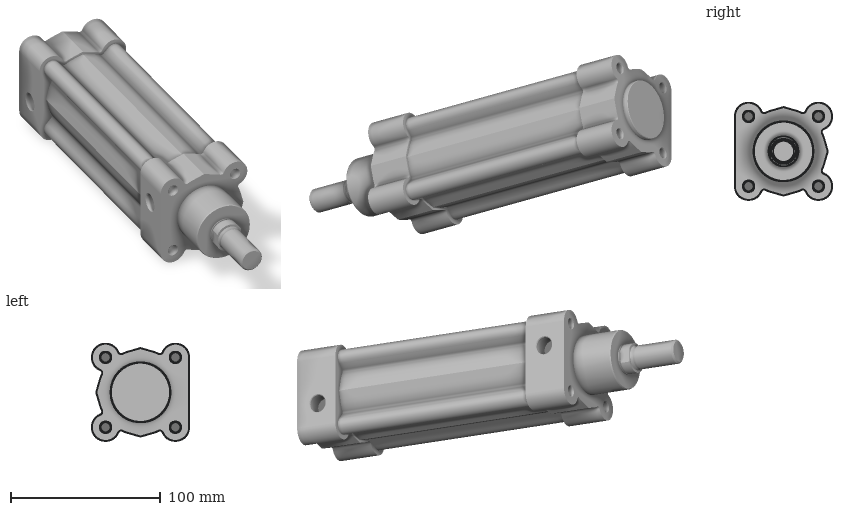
import cadquery as cq
import math

TOTAL_LENGTH = 279.0
BOSS_LENGTH = 3.5
CAP_LENGTH = 29.5
BARREL_LENGTH = 146.8
COLLAR_LENGTH = 28.5
REAR_CAP_X = BOSS_LENGTH
BARREL_X = REAR_CAP_X + CAP_LENGTH
FRONT_CAP_X = BARREL_X + BARREL_LENGTH
COLLAR_X = FRONT_CAP_X + CAP_LENGTH
COLLAR_END_X = COLLAR_X + COLLAR_LENGTH

CAP_WIDTH = 65.0
CORNER_RADIUS = 9.2
CORNER_OFFSET = CAP_WIDTH / 2 - CORNER_RADIUS
CORNER_AXES = [(side * CORNER_OFFSET, level * CORNER_OFFSET) for side in (-1, 1) for level in (-1, 1)]
CAP_CORE_RADIUS = 28.5
CAP_RIDGE_HEIGHT = 29.5
CAP_RIDGE_HALF_WIDTH = 7.0
BOSS_RADIUS = 20.0
BOSS_CHAMFER = 0.42
COLLAR_CHAMFER_LENGTH = 0.8

SCREW_HOLE_DIAMETER = 6.7
SCREW_HOLE_DEPTH = 16.0
SCREW_HOLE_CHAMFER = 0.5

PORT_DIAMETER = 11.7
PORT_DEPTH = 11.2
PORT_CHAMFER = 0.5
PORT_FROM_OUTER_FACE = 15.5
PORT_OFFSET_Z = 8.0

BARREL_CORE_RADIUS = 26.8
BARREL_RIDGE_HEIGHT = 27.5
BARREL_RIDGE_HALF_WIDTH = 5.5
RIB_RADIUS = 5.9

CORNER_FILLET = 2.0

EDGE_TOLERANCE = 0.03

ROD_RADIUS = 10.0
ROD_SEAT_DEPTH = COLLAR_LENGTH
GROOVE_START = 0.8
GROOVE_LENGTH = 0.8
GROOVE_RADIUS = 9.5
FLAT_LENGTH = 6.7
FLATS_ACROSS = 17.9
SHOULDER_CONE_RADIUS = 8.5
SHOULDER_CONE_LENGTH = 1.7
NECK_RADIUS = 7.5
NECK_LENGTH = 1.7
THREAD_RADIUS = 8.0
THREAD_CHAMFER = 1.0


def cylinder(radius, x_start, length):
    return cq.Workplane("YZ", origin=(x_start, 0, 0)).circle(radius).extrude(length)


def hole_cutter(mouth, inward, diameter, depth, chamfer):
    """Blind hole with a 45-degree chamfer around its mouth."""
    mouth_point = cq.Vector(*mouth)
    direction = cq.Vector(*inward)
    bore = cq.Solid.makeCylinder(diameter / 2, depth, mouth_point, direction)
    cone = cq.Solid.makeCone(diameter / 2 + chamfer, diameter / 2, chamfer, mouth_point, direction)
    return cq.Workplane(bore.fuse(cone))


def quarter_turned(y, z, quarter):
    """Point (y, z) turned about the X axis by a number of quarter turns."""
    for _ in range(quarter):
        y, z = -z, y
    return (y, z)


def ridged_core(radius, ridge_height, ridge_half_width, x_start, length):
    """Round core with a shallow two-plane ridge along each of its four sides."""
    flank = math.sqrt(radius**2 - ridge_half_width**2)
    diagonal = radius / math.sqrt(2)
    outline = cq.Workplane("YZ", origin=(x_start, 0, 0)).moveTo(ridge_height, 0)
    for quarter in range(4):
        flank_end = quarter_turned(flank, ridge_half_width, quarter)
        arc_middle = quarter_turned(diagonal, diagonal, quarter)
        arc_end = quarter_turned(ridge_half_width, flank, quarter)
        next_ridge = quarter_turned(0, ridge_height, quarter)
        outline = outline.lineTo(*flank_end).threePointArc(arc_middle, arc_end).lineTo(*next_ridge)
    return outline.close().extrude(length)


def fillet_concave_corners(body, radius, ridge_half_width):
    """Round the edges along X where the corners of a body run into its round core."""

    def is_concave(edge):
        center = edge.Center()
        on_core = abs(math.hypot(center.y, center.z) - radius) < EDGE_TOLERANCE
        return on_core and min(abs(center.y), abs(center.z)) > ridge_half_width + EDGE_TOLERANCE

    return body.edges("|X").filter(is_concave).fillet(CORNER_FILLET)


def cap_block(x_start):
    block = ridged_core(
        CAP_CORE_RADIUS, CAP_RIDGE_HEIGHT, CAP_RIDGE_HALF_WIDTH, x_start, CAP_LENGTH
    )
    for y, z in CORNER_AXES:
        block = block.union(cylinder(CORNER_RADIUS, x_start, CAP_LENGTH).translate((0, y, z)))
    flat_side = cq.Workplane("XY").box(
        CAP_LENGTH, CAP_WIDTH / 2, 2 * CORNER_OFFSET, centered=(False, False, True)
    )
    block = block.union(flat_side.translate((x_start, -CAP_WIDTH / 2, 0)))
    return fillet_concave_corners(block, CAP_CORE_RADIUS, CAP_RIDGE_HALF_WIDTH)


def cut_cap_holes(cap, outer_face_x, inward, port_z):
    """Cut the four screw holes into the outer face and the air port into the flat side."""
    for y, z in CORNER_AXES:
        mouth = (outer_face_x, y, z)
        hole = hole_cutter(mouth, (inward, 0, 0), SCREW_HOLE_DIAMETER, SCREW_HOLE_DEPTH, SCREW_HOLE_CHAMFER)
        cap = cap.cut(hole)
    port_mouth = (outer_face_x + inward * PORT_FROM_OUTER_FACE, -CAP_WIDTH / 2, port_z)
    return cap.cut(hole_cutter(port_mouth, (0, 1, 0), PORT_DIAMETER, PORT_DEPTH, PORT_CHAMFER))


def make_rear_cap():
    boss = cylinder(BOSS_RADIUS, 0, BOSS_LENGTH).faces("<X").chamfer(BOSS_CHAMFER)
    return cut_cap_holes(cap_block(REAR_CAP_X).union(boss), REAR_CAP_X, 1, -PORT_OFFSET_Z)


def make_front_cap():
    collar = (
        cq.Workplane("XY")
        .moveTo(COLLAR_X, 0)
        .lineTo(COLLAR_X, BOSS_RADIUS)
        .lineTo(COLLAR_END_X - COLLAR_CHAMFER_LENGTH, BOSS_RADIUS)
        .lineTo(COLLAR_END_X, BOSS_RADIUS - BOSS_CHAMFER)
        .lineTo(COLLAR_END_X, 0)
        .close()
        .revolve(360, (0, 0, 0), (1, 0, 0))
    )
    cap = cut_cap_holes(cap_block(FRONT_CAP_X).union(collar), COLLAR_X, -1, PORT_OFFSET_Z)
    return cap.cut(cylinder(ROD_RADIUS, COLLAR_END_X - ROD_SEAT_DEPTH, ROD_SEAT_DEPTH))


def make_barrel():
    barrel = ridged_core(
        BARREL_CORE_RADIUS, BARREL_RIDGE_HEIGHT, BARREL_RIDGE_HALF_WIDTH, BARREL_X, BARREL_LENGTH
    )
    slot_length = 2 * (CORNER_OFFSET * math.sqrt(2) + RIB_RADIUS)
    for angle in (45, 135):
        rib_pair = cq.Workplane("YZ", origin=(BARREL_X, 0, 0)).slot2D(slot_length, 2 * RIB_RADIUS, angle)
        barrel = barrel.union(rib_pair.extrude(BARREL_LENGTH))
    return fillet_concave_corners(barrel, BARREL_CORE_RADIUS, BARREL_RIDGE_HALF_WIDTH)


def make_rod():
    seat_x = COLLAR_END_X - ROD_SEAT_DEPTH
    groove_x = COLLAR_END_X + GROOVE_START
    flat_x = groove_x + GROOVE_LENGTH
    shoulder_x = flat_x + FLAT_LENGTH
    neck_x = shoulder_x + SHOULDER_CONE_LENGTH
    thread_x = neck_x + NECK_LENGTH
    rod = (
        cq.Workplane("XY")
        .moveTo(seat_x, 0)
        .lineTo(seat_x, ROD_RADIUS)
        .lineTo(groove_x, ROD_RADIUS)
        .lineTo(groove_x, GROOVE_RADIUS)
        .lineTo(flat_x, GROOVE_RADIUS)
        .lineTo(flat_x, ROD_RADIUS)
        .lineTo(shoulder_x, ROD_RADIUS)
        .lineTo(shoulder_x, SHOULDER_CONE_RADIUS)
        .lineTo(neck_x, NECK_RADIUS)
        .lineTo(thread_x, NECK_RADIUS)
        .lineTo(thread_x, THREAD_RADIUS)
        .lineTo(TOTAL_LENGTH - THREAD_CHAMFER, THREAD_RADIUS)
        .lineTo(TOTAL_LENGTH, THREAD_RADIUS - THREAD_CHAMFER)
        .lineTo(TOTAL_LENGTH, 0)
        .close()
        .revolve(360, (0, 0, 0), (1, 0, 0))
    )
    for side in (-1, 1):
        beyond_flat = cq.Workplane("XY").box(FLAT_LENGTH, ROD_RADIUS, 2 * ROD_RADIUS)
        beyond_flat_y = side * (FLATS_ACROSS + ROD_RADIUS) / 2
        rod = rod.cut(beyond_flat.translate((flat_x + FLAT_LENGTH / 2, beyond_flat_y, 0)))
    return rod


rear_cap = make_rear_cap()
barrel = make_barrel()
front_cap = make_front_cap()
piston_rod = make_rod()

result = cq.Compound.makeCompound([rear_cap.val(), barrel.val(), front_cap.val(), piston_rod.val()])